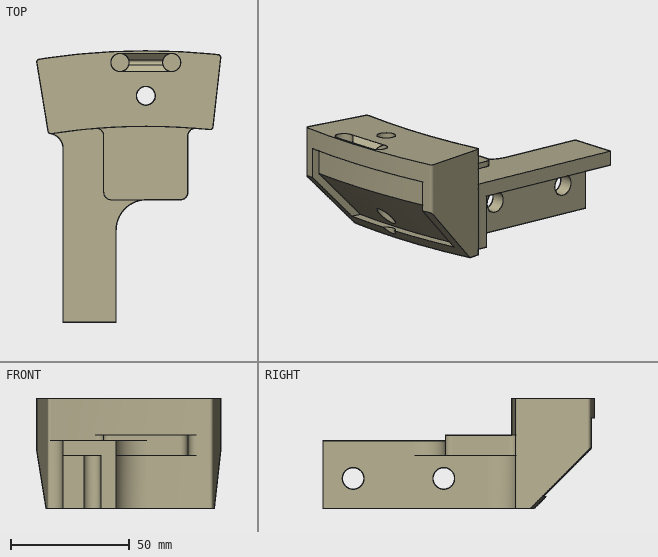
import cadquery as cq
import math


OUTER_RADIUS = 285.75
BODY_DEPTH = 31.75
INNER_RADIUS = OUTER_RADIUS - BODY_DEPTH
AXIS_Y = -OUTER_RADIUS
BODY_HEIGHT = 46.35
LEFT_ANGLE = 9.28
RIGHT_ANGLE = 6.36
BODY_CORNER_RADIUS = 1.27
CONE_ANGLE = 45
CONE_HEIGHT = 25.4

RECESS_DEPTH = 3.175
RECESS_SIDE_MARGIN = 5.08
RECESS_TOP = 38.1
RECESS_BOTTOM = 5.0

ARM_LEFT = -34.85
ARM_WIDTH = 22.4
ARM_RIGHT = ARM_LEFT + ARM_WIDTH
ARM_END = -114.17
ARM_HEIGHT = 28.55
ARM_PLATE_THICKNESS = 6.15
PLATE_BOTTOM = ARM_HEIGHT - ARM_PLATE_THICKNESS
WEB_THICKNESS = 6.5
WEB_LEFT = ARM_RIGHT - WEB_THICKNESS
ROOT_BLOCK_END = -44.45
RELIEF_RADIUS = 3.5
ARM_OVERLAP_Y = 3.0 - BODY_DEPTH
ARM_ROOT_RADIUS = 6.35
WEB_ROOT_RADIUS = 12.7

WEB_HOLE_DIAMETER = 8.99
WEB_HOLE_HEIGHT = 12.7
WEB_HOLE_END_DISTANCE = 12.7
WEB_HOLE_SPACING = 38.1
WEB_HOLE_COUNT = 2

PAD_WIDTH = 35.4
PAD_END = -62.7
PAD_TOP = 30.95
PAD_CORNER_RADIUS = 3.175

THROUGH_HOLE_DIAMETER = 7.8
THROUGH_HOLE_Y = -18.95
POCKET_DIAMETER = 7.62
POCKET_RADIUS = POCKET_DIAMETER / 2
POCKET_DEPTH = 3.81
POCKET_SPACING = 21.75
POCKET_Y = -4.95
GROOVE_HALF_WIDTH = POCKET_RADIUS - 0.01
GROOVE_BOTTOM_RADIUS = 1.04


def box(x_min, x_max, y_min, y_max, z_min, z_max):
    size = (x_max - x_min, y_max - y_min, z_max - z_min)
    return cq.Workplane("XY").box(*size, centered=False).translate((x_min, y_min, z_min))


def sector(profile, left_angle, right_angle):
    """Revolve a (radius, height) profile about the sector axis, between two angles off the centreline."""
    swept = cq.Workplane("XZ").polyline(profile).close()
    swept = swept.revolve(left_angle + right_angle, (0, 0), (0, 1))
    return swept.rotate((0, 0, 0), (0, 0, 1), 90 - right_angle).translate((0, AXIS_Y, 0))


def fillet_upright_edge(solid, x, y, height, radius):
    """Round the upright edge that stands nearest to (x, y) at the given height."""
    return solid.edges("|Z").edges(cq.selectors.NearestToPointSelector((x, y, height))).fillet(radius)


def inner_arc_y(x):
    """Y of the body's inner face at the given X."""
    return AXIS_Y + math.sqrt(INNER_RADIUS**2 - x**2)


def make_body():
    profile = [
        (INNER_RADIUS, 0),
        (OUTER_RADIUS - CONE_HEIGHT * math.tan(math.radians(CONE_ANGLE)), 0),
        (OUTER_RADIUS, CONE_HEIGHT),
        (OUTER_RADIUS, BODY_HEIGHT),
        (INNER_RADIUS, BODY_HEIGHT),
    ]
    return sector(profile, LEFT_ANGLE, RIGHT_ANGLE).edges("|Z").fillet(BODY_CORNER_RADIUS)


def left_root():
    """Concave fillet that runs off the arm's left side straight onto the rounded corner of the body."""
    corner_distance = INNER_RADIUS + BODY_CORNER_RADIUS
    corner_angle = math.radians(LEFT_ANGLE) - math.asin(BODY_CORNER_RADIUS / corner_distance)
    corner_x = -corner_distance * math.sin(corner_angle)
    corner_y = AXIS_Y + corner_distance * math.cos(corner_angle)

    centre_gap = ARM_ROOT_RADIUS + BODY_CORNER_RADIUS
    fillet_x = ARM_LEFT - ARM_ROOT_RADIUS
    fillet_y = corner_y - math.sqrt(centre_gap**2 - (corner_x - fillet_x) ** 2)
    start_angle = math.atan2(corner_y - fillet_y, corner_x - fillet_x)

    def on_fillet(angle):
        return (fillet_x + ARM_ROOT_RADIUS * math.cos(angle), fillet_y + ARM_ROOT_RADIUS * math.sin(angle))

    outline = cq.Workplane("XY").moveTo(*on_fillet(start_angle))
    outline = outline.threePointArc(on_fillet(start_angle / 2), on_fillet(0))
    outline = outline.lineTo(ARM_LEFT, ARM_OVERLAP_Y).lineTo(corner_x, corner_y).close()
    return outline.extrude(ARM_HEIGHT)


def add_arm(body):
    """Join the arm to the body and round both roots, then hollow it to an L section."""
    arm = box(ARM_LEFT, ARM_RIGHT, ARM_END, ARM_OVERLAP_Y, 0, ARM_HEIGHT)
    part = body.union(arm)
    part = fillet_upright_edge(part, ARM_RIGHT, inner_arc_y(ARM_RIGHT), ARM_HEIGHT / 2, WEB_ROOT_RADIUS)
    part = part.union(left_root())
    cavity = box(ARM_LEFT, WEB_LEFT, ARM_END, ROOT_BLOCK_END, 0, PLATE_BOTTOM)
    relief = cq.Workplane("XY").center(WEB_LEFT - RELIEF_RADIUS, ROOT_BLOCK_END)
    relief = relief.circle(RELIEF_RADIUS).extrude(PLATE_BOTTOM)
    return part.cut(cavity).cut(relief)


def add_pad(part, body):
    """Add the pad beside the arm, with a rounded inside corner under its front edge."""
    half_width = PAD_WIDTH / 2
    pad = box(-half_width, half_width, PAD_END, ARM_OVERLAP_Y, PLATE_BOTTOM, PAD_TOP)
    pad_height = (PLATE_BOTTOM + PAD_TOP) / 2
    for x in (-half_width, half_width):
        pad = fillet_upright_edge(pad, x, PAD_END, pad_height, PAD_CORNER_RADIUS)
    pad = pad.union(body)
    for x in (-half_width, half_width):
        pad = fillet_upright_edge(pad, x, inner_arc_y(x), pad_height, PAD_CORNER_RADIUS)

    plate = box(ARM_LEFT, ARM_RIGHT, ARM_END, ARM_OVERLAP_Y, PLATE_BOTTOM, ARM_HEIGHT)
    pad_base = box(ARM_RIGHT, half_width - PAD_CORNER_RADIUS, PAD_END, ARM_OVERLAP_Y, PLATE_BOTTOM, ARM_HEIGHT)
    plate = plate.union(pad_base)
    plate_height = (PLATE_BOTTOM + ARM_HEIGHT) / 2
    plate = fillet_upright_edge(plate, ARM_RIGHT, PAD_END, plate_height, WEB_ROOT_RADIUS)
    return part.union(pad).union(plate)


def web_holes():
    first_y = ARM_END + WEB_HOLE_END_DISTANCE
    centres = [(first_y + i * WEB_HOLE_SPACING, WEB_HOLE_HEIGHT) for i in range(WEB_HOLE_COUNT)]
    holes = cq.Workplane("YZ", origin=(WEB_LEFT, 0, 0)).pushPoints(centres)
    return holes.circle(WEB_HOLE_DIAMETER / 2).extrude(WEB_THICKNESS)


def through_hole():
    hole = cq.Workplane("XY").center(0, THROUGH_HOLE_Y)
    return hole.circle(THROUGH_HOLE_DIAMETER / 2).extrude(BODY_HEIGHT)


def top_pockets():
    """Two round blind pockets joined by a 45-degree V groove with a rounded bottom."""
    half_spacing = POCKET_SPACING / 2
    top = cq.Workplane("XY", origin=(0, POCKET_Y, BODY_HEIGHT))
    pockets = top.pushPoints([(-half_spacing, 0), (half_spacing, 0)])
    pockets = pockets.circle(POCKET_RADIUS).extrude(-POCKET_DEPTH)
    v_depth = GROOVE_HALF_WIDTH - GROOVE_BOTTOM_RADIUS
    section = cq.Workplane("YZ", origin=(-half_spacing, POCKET_Y, BODY_HEIGHT))
    groove = (
        section.moveTo(-GROOVE_HALF_WIDTH, 0)
        .lineTo(-GROOVE_BOTTOM_RADIUS, -v_depth)
        .threePointArc((0, -GROOVE_HALF_WIDTH), (GROOVE_BOTTOM_RADIUS, -v_depth))
        .lineTo(GROOVE_HALF_WIDTH, 0)
        .close()
        .extrude(POCKET_SPACING)
    )
    return pockets.union(groove)


def outer_recess():
    """Cutter for the recess that follows the outer face at a constant depth, down onto the cone."""

    def skin(depth):
        corner_height = CONE_HEIGHT + depth * math.tan(math.radians(CONE_ANGLE / 2))
        radius = OUTER_RADIUS - depth
        bottom_radius = radius - (corner_height - RECESS_BOTTOM) * math.tan(math.radians(CONE_ANGLE))
        return [(bottom_radius, RECESS_BOTTOM), (radius, corner_height), (radius, RECESS_TOP)]

    margin_angle = math.degrees(RECESS_SIDE_MARGIN / OUTER_RADIUS)
    profile = skin(RECESS_DEPTH) + skin(-RECESS_DEPTH)[::-1]
    return sector(profile, LEFT_ANGLE - margin_angle, RIGHT_ANGLE - margin_angle)


body = make_body()
result = add_pad(add_arm(body), body)
for cutter in (web_holes(), through_hole(), top_pockets(), outer_recess()):
    result = result.cut(cutter)